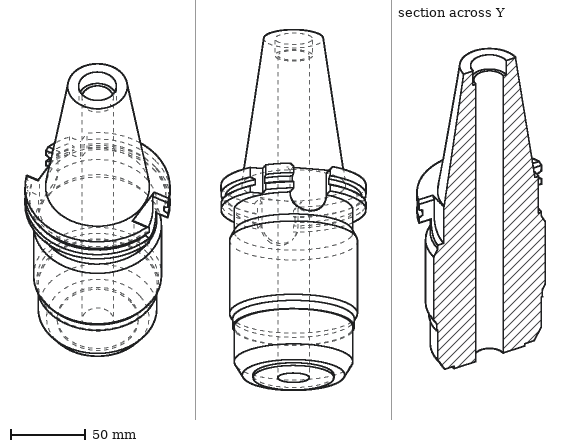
import cadquery as cq

total_height = 239.2
nose_height = 2.0
nut_chamfer_top = 11.2
nut_top = 35.9
collar_top = 41.5
body_bottom = 45.2
body_top = 96.9
neck_bottom = 102.8
flange_bottom = 118.4
flange_top = 135.8
taper_start = 137.3

nose_radius = 27.3
nut_end_radius = 34.5
nut_radius = 40.0
collar_radius = 41.0
body_radius = 43.0
neck_radius = 40.0
flange_radius = 48.8
taper_large_radius = 35.0
taper_small_radius = 20.0

groove_radius = 46.0
groove_lower_edge = 122.7
groove_floor_bottom = 124.0
groove_floor_top = 127.7
groove_upper_edge = 129.1

bore_radius = 10.5
counterbore_radius = 12.7
counterbore_depth = 11.7

slot_width = 25.3
slot_bottom = 105.7
slot_chamfer = 2.2
left_slot_floor = 37.8
right_slot_floor = 35.5
notch_x = 30.1
notch_y = 29.7


def turned_body():
    """Revolve the outer profile about Z."""
    profile = [
        (0, 0),
        (nose_radius, 0),
        (nose_radius, nose_height),
        (nut_end_radius, nose_height),
        (nut_radius, nut_chamfer_top),
        (nut_radius, nut_top),
        (collar_radius, nut_top),
        (collar_radius, collar_top),
        (body_radius, body_bottom),
        (body_radius, body_top),
        (neck_radius, neck_bottom),
        (neck_radius, flange_bottom),
        (flange_radius, flange_bottom),
        (flange_radius, groove_lower_edge),
        (groove_radius, groove_floor_bottom),
        (groove_radius, groove_floor_top),
        (flange_radius, groove_upper_edge),
        (flange_radius, flange_top),
        (taper_large_radius, flange_top),
        (taper_large_radius, taper_start),
        (taper_small_radius, total_height),
        (0, total_height),
    ]
    return cq.Workplane("XZ").polyline(profile).close().revolve(360, (0, 0), (0, 1))


def drive_slot(side, floor):
    """Round-ended slot cutter on the +X (side=1) or -X (side=-1) side, flared at the top."""
    half = slot_width / 2
    arc_height = slot_bottom + half
    flare_start = flange_top - slot_chamfer
    return (
        cq.Workplane("YZ", origin=(side * floor, 0, 0))
        .moveTo(-half, arc_height)
        .threePointArc((0, slot_bottom), (half, arc_height))
        .lineTo(half, flare_start)
        .lineTo(half + slot_chamfer, flange_top)
        .lineTo(-half - slot_chamfer, flange_top)
        .lineTo(-half, flare_start)
        .close()
        .extrude(side * flange_radius)
    )


def orientation_notch():
    """Square corner cutter through the flange on its -X, +Y side."""
    return cq.Workplane("XY").box(
        flange_radius, flange_radius, flange_top - flange_bottom, centered=False
    ).translate((-notch_x - flange_radius, notch_y, flange_bottom))


def axial_bore():
    """Through bore with a counterbore at the small end of the taper."""
    bore = cq.Workplane("XY").circle(bore_radius).extrude(total_height)
    counterbore = (
        cq.Workplane("XY", origin=(0, 0, total_height - counterbore_depth))
        .circle(counterbore_radius)
        .extrude(counterbore_depth)
    )
    return bore.union(counterbore)


result = (
    turned_body()
    .cut(drive_slot(-1, left_slot_floor))
    .cut(drive_slot(1, right_slot_floor))
    .cut(orientation_notch())
    .cut(axial_bore())
)